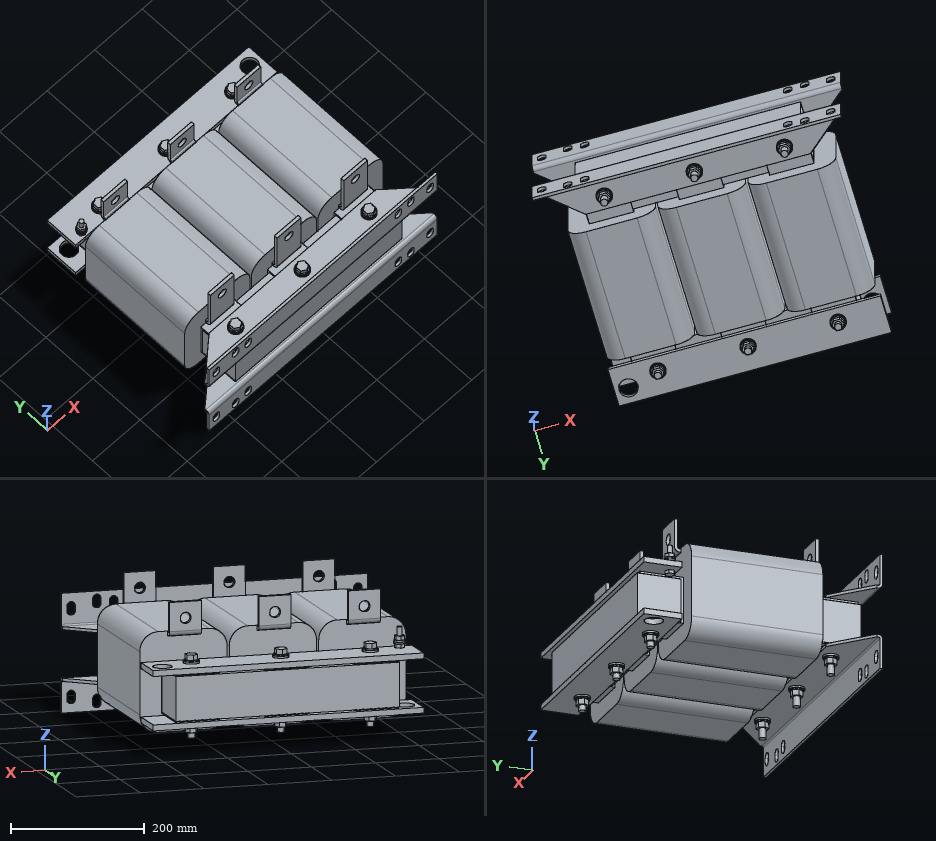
import cadquery as cq


yoke_depth = 70.0
leg_pitch = 2 * yoke_depth
leg_positions = (-leg_pitch, 0, leg_pitch)
core_length_x = 2 * leg_pitch + yoke_depth
core_length_y = 359.0
core_top = 33.5
core_bottom = -35.0
yoke_center_y = (core_length_y - yoke_depth) / 2

strip_width = 69.0
strip_length = 350.0
clamp_height = 37.0

coil_width = 137.0
coil_length = 210.5
coil_radius = 29.0
coil_top = 88.0
coil_bottom = -66.0

tab_width = 50.0
tab_thickness = 6.0
tab_outer_y = 116.0
tab_top = 133.5
tab_bend_radius = 8.0
tab_hole_diameter = 17.0
tab_hole_z = tab_top - tab_width / 2
front_tab_bottom = 40.5
rear_tab_bottom = 80.5

bracket_length = 480.0
bracket_thickness = 5.0
bracket_front_y = -189.0
bracket_inner_y = -123.5
bracket_height = 91.5
bracket_bend_radius = 7.0
bracket_taper_start_y = -179.5
slot_width = 13.0
slot_length = 20.0
slot_places = ((224.5, 67.5), (184.5, 76.5), (158.0, 72.5))

plate_length = 424.5
plate_rear_y = 183.5
plate_depth = 61.0
plate_thickness = 9.0
plate_hole_diameter = 29.0
plate_hole_x = 190.0
plate_hole_y = 159.0

bolt_diameter = 11.0
front_bolt_tail = 30.0
rear_bolt_tail = 22.5
flat_washer_diameter = 24.5
flat_washer_thickness = 3.0
lock_washer_diameter = 21.5
lock_washer_thickness = 2.0
washer_stack = flat_washer_thickness + lock_washer_thickness
hex_size = 19.0
head_height = 8.0
nut_height = 9.0

stud_x = -189.5
stud_y = 133.0
stud_diameter = 7.5
stud_top = 78.0
stud_hex_size = 16.0
stud_head_height = 5.5
stud_nut_height = 6.0
stud_washer_diameters = (17.5, 16.5)
stud_washer_thickness = 3.0


def box_between(x_range, y_range, z_range):
    """Box given by its lower and upper limits along each axis."""
    limits = (x_range, y_range, z_range)
    sizes = [high - low for low, high in limits]
    return cq.Workplane("XY").box(*sizes, centered=False).translate([low for low, high in limits])


def cylinder(x, y, z, diameter, height):
    return cq.Workplane("XY", origin=(x, y, z)).circle(diameter / 2).extrude(height)


def hexagon(x, y, z, size, height, turn=0):
    """Hexagonal prism with two corners along X, then turned by an angle in degrees."""
    prism = cq.Workplane("XY").polygon(6, size).extrude(height)
    return prism.rotate((0, 0, 0), (0, 0, 1), turn).translate((x, y, z))


def mirror_z(body):
    return body.mirror("XY")


def make_yoke(side):
    """Core bar joining the leg ends; side is -1 at the front, 1 at the rear."""
    yoke = cq.Workplane("XY").box(core_length_x, yoke_depth, core_top - core_bottom)
    return yoke.translate((0, side * yoke_center_y, (core_top + core_bottom) / 2))


def make_leg(x):
    """One leg and the insulating strips above and below it, as a single block."""
    return cq.Workplane("XY").box(strip_width, strip_length, 2 * clamp_height).translate((x, 0, 0))


def make_coil(x):
    height = coil_top - coil_bottom
    coil = cq.Workplane("XY").box(coil_width, coil_length, height).edges("|Y").fillet(coil_radius)
    return coil.translate((x, 0, (coil_top + coil_bottom) / 2))


def make_tab(x, side, bottom):
    """Upright tab whose foot bends into the coil; side is -1 at the front, 1 at the rear."""
    half_coil = coil_length / 2
    inner_radius = tab_bend_radius - tab_thickness
    inner_y = tab_outer_y - tab_thickness
    foot_top = bottom + tab_thickness
    profile = (
        cq.Workplane("YZ")
        .moveTo(half_coil - tab_width / 2, bottom)
        .lineTo(tab_outer_y - tab_bend_radius, bottom)
        .radiusArc((tab_outer_y, bottom + tab_bend_radius), -tab_bend_radius)
        .lineTo(tab_outer_y, tab_top)
        .lineTo(inner_y, tab_top)
        .lineTo(inner_y, foot_top + inner_radius)
        .radiusArc((inner_y - inner_radius, foot_top), inner_radius)
        .lineTo(half_coil - tab_width / 2, foot_top)
        .close()
    )
    tab = profile.extrude(tab_width / 2, both=True)
    hole = cq.Workplane("XZ").center(0, tab_hole_z).circle(tab_hole_diameter / 2).extrude(-2 * tab_outer_y)
    tab = tab.cut(hole)
    if side < 0:
        tab = tab.mirror("XZ")
    return tab.translate((x, 0, 0))


def make_upper_bracket():
    """Angle with a tapered flange on the core and an upright, slotted front flange."""
    half_length = bracket_length / 2
    flange_top = clamp_height + bracket_thickness
    back_y = bracket_front_y + bracket_thickness
    flange = box_between(
        (-half_length, half_length), (bracket_front_y, bracket_inner_y), (clamp_height, flange_top)
    )
    upright = box_between(
        (-half_length, half_length), (bracket_front_y, back_y), (clamp_height, bracket_height)
    )
    angle = flange.union(upright)
    angle = angle.edges("|X and <Y and <Z").fillet(bracket_bend_radius)
    inner_bend = cq.selectors.NearestToPointSelector((0, back_y, flange_top))
    angle = angle.edges(inner_bend).fillet(bracket_bend_radius - bracket_thickness)

    outline = (
        cq.Workplane("XY")
        .polyline([
            (-half_length, bracket_front_y),
            (half_length, bracket_front_y),
            (half_length, bracket_taper_start_y),
            (core_length_x / 2, bracket_inner_y),
            (-core_length_x / 2, bracket_inner_y),
            (-half_length, bracket_taper_start_y),
        ])
        .close()
        .extrude(bracket_height)
    )
    slots = (
        cq.Workplane("XZ", origin=(0, back_y, 0))
        .pushPoints([(side * x, z) for x, z in slot_places for side in (-1, 1)])
        .slot2D(slot_length, slot_width, 90)
        .extrude(bracket_thickness)
    )
    return angle.intersect(outline).cut(slots)


def make_upper_plate():
    """Rear plate with one round hole near its +X end."""
    half_length = plate_length / 2
    plate = box_between(
        (-half_length, half_length),
        (plate_rear_y - plate_depth, plate_rear_y),
        (clamp_height, clamp_height + plate_thickness),
    )
    hole = cylinder(plate_hole_x, plate_hole_y, clamp_height, plate_hole_diameter, plate_thickness)
    return plate.cut(hole)


def make_lower_plate():
    """The upper plate turned over about the Y axis, so its hole is near the -X end."""
    return make_upper_plate().rotate((0, 0, 0), (0, 1, 0), 180)


def make_washers(x, y, clamp_face):
    """Flat washer on the clamp face with a narrower lock washer on top."""
    flat_washer = cylinder(x, y, clamp_face, flat_washer_diameter, flat_washer_thickness)
    lock_washer_bottom = clamp_face + flat_washer_thickness
    lock_washer = cylinder(x, y, lock_washer_bottom, lock_washer_diameter, lock_washer_thickness)
    return flat_washer.union(lock_washer)


def make_clamp_bolt(x, y, clamp_thickness, bolt_tail):
    """Bolt through both clamps, with its head on top and its nut below."""
    clamp_face = clamp_height + clamp_thickness
    seat = clamp_face + washer_stack
    washers = make_washers(x, y, clamp_face)
    head = hexagon(x, y, seat, hex_size, head_height, 90)
    nut = mirror_z(hexagon(x, y, seat, hex_size, nut_height))
    shank_bottom = -clamp_face - bolt_tail
    shank = cylinder(x, y, shank_bottom, bolt_diameter, seat - shank_bottom)
    return head.union(washers).union(shank).union(mirror_z(washers)).union(nut)


def make_earth_stud():
    """Stud through the upper rear plate: head below, then nut, two washers and nut above."""
    head_bottom = clamp_height - stud_head_height
    stud = cylinder(stud_x, stud_y, head_bottom, stud_diameter, stud_top - head_bottom)
    stud = stud.union(hexagon(stud_x, stud_y, head_bottom, stud_hex_size, stud_head_height, 90))
    level = clamp_height + plate_thickness
    stud = stud.union(hexagon(stud_x, stud_y, level, stud_hex_size, stud_nut_height, 90))
    level += stud_nut_height
    for diameter in stud_washer_diameters:
        stud = stud.union(cylinder(stud_x, stud_y, level, diameter, stud_washer_thickness))
        level += stud_washer_thickness
    return stud.union(hexagon(stud_x, stud_y, level, stud_hex_size, stud_nut_height, 90))


upper_bracket = make_upper_bracket()
result = make_yoke(-1)
for leg_x in leg_positions:
    result = result.union(make_leg(leg_x))
    result = result.union(make_coil(leg_x))
    result = result.union(make_tab(leg_x, -1, front_tab_bottom))
    result = result.union(make_tab(leg_x, 1, rear_tab_bottom))
result = result.union(make_yoke(1))
for clamp in (upper_bracket, mirror_z(upper_bracket), make_upper_plate(), make_lower_plate()):
    result = result.union(clamp)
for leg_x in leg_positions:
    result = result.union(make_clamp_bolt(leg_x, -yoke_center_y, bracket_thickness, front_bolt_tail))
    result = result.union(make_clamp_bolt(leg_x, yoke_center_y, plate_thickness, rear_bolt_tail))
result = result.union(make_earth_stud())